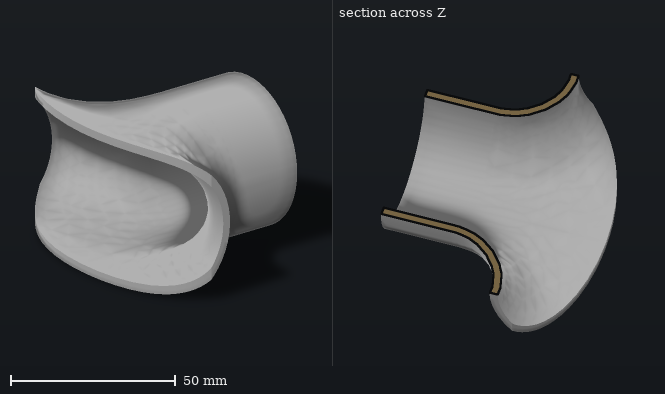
import cadquery as cq
import math

outer_diameter = 48.3
inner_diameter = 43.1
saddle_width = 85.0
total_length = 64.2
tube_length = 22.1
blend_half_width = 41.65
rim_half_width = 44.5
flare_hollow = 0.3
flare_edge_setback = 0.9

outer_radius = outer_diameter / 2
wall = (outer_diameter - inner_diameter) / 2
tube_start = total_length - tube_length
blend_depth = outer_radius - flare_edge_setback

around_steps = 24
along_steps = 16
around_overshoot = 2
tube_overlap = 2.55
saddle_overlap = 6.8
overlap_steps = 4
surface_tolerance = 0.02
lowest_degree = 3
highest_degree = 6
joint_tolerance = 0.05
arc_handle = 4 / 3 * (math.sqrt(2) - 1)


def flare_curve(fraction):
    """Points from tube to saddle; fraction 0 is the side (+X) and 1 is the top (+Z).

    turn is the angle around the tube, psi the angle along the ellipse where the flare ends,
    and theta the angle around the saddle cylinder at that end.
    """
    turn = math.pi / 2 * fraction
    psi = math.pi / 2 * (2 * fraction**2 - fraction**3)
    theta = math.acos((outer_radius - blend_depth * math.sin(psi)) / outer_radius)

    def on_saddle(x, angle):
        return cq.Vector(x, outer_radius * math.cos(angle), outer_radius * math.sin(angle))

    across = blend_depth * math.cos(psi)
    wrapped = blend_half_width * math.sin(psi) * math.sin(theta)
    length = math.hypot(across, wrapped)
    across /= length
    wrapped /= length

    start_x = outer_radius * math.cos(turn)
    start_z = outer_radius * math.sin(turn)
    end_x = blend_half_width * math.cos(psi)
    start = cq.Vector(start_x, tube_start, start_z)
    end = on_saddle(end_x, theta)
    end_direction = cq.Vector(across, -wrapped * math.sin(theta), wrapped * math.cos(theta))

    handle = (1 + flare_hollow * fraction) * arc_handle * (end - start).Length / math.sqrt(2)
    start_handle = start - cq.Vector(0, handle, 0)
    end_handle = end - end_direction * handle

    points = []
    for step in range(overlap_steps):
        extra = tube_overlap * (1 - step / overlap_steps)
        points.append(start + cq.Vector(0, extra, 0))
    for step in range(along_steps + 1):
        u = step / along_steps
        v = 1 - u
        near_start = start * v**3 + start_handle * (3 * u * v**2)
        near_end = end_handle * (3 * u**2 * v) + end * u**3
        points.append(near_start + near_end)
    for step in range(1, overlap_steps + 1):
        extra = saddle_overlap * step / overlap_steps
        points.append(on_saddle(end_x + across * extra, theta + wrapped * extra / outer_radius))
    return points


def symmetric_flare_curve(fraction):
    """Flare curve that continues by symmetry below the side and past the top or bottom."""
    side = 1
    distance = abs(fraction)
    if distance > 1:
        side = -1
        distance = 2 - distance
    height_sign = -1 if fraction < 0 else 1
    return [cq.Vector(side * p.x, p.y, height_sign * p.z) for p in flare_curve(distance)]


def make_flare_half():
    """Flare and saddle on the +X side, from the bottom over the side to the top."""
    steps = range(-around_steps - around_overshoot, around_steps + around_overshoot + 1)
    grid = [symmetric_flare_curve(step / around_steps) for step in steps]
    skin = cq.Face.makeSplineApprox(grid, tol=surface_tolerance, minDeg=lowest_degree, maxDeg=highest_degree)
    inward = wall if skin.normalAt().x < 0 else -wall
    shell = cq.Workplane(obj=skin.thicken(inward))
    half_space = cq.Workplane().box(
        saddle_width / 2, tube_start, 2 * outer_diameter, centered=(False, False, True)
    )
    return shell.intersect(half_space).intersect(make_rim_outline())


def make_rim_outline():
    """Upright prism whose lower edge is the elliptical rim of the saddle."""
    ellipse = (
        cq.Workplane()
        .center(0, outer_radius)
        .ellipse(rim_half_width, outer_radius)
        .extrude(outer_diameter, both=True)
    )
    above = (
        cq.Workplane()
        .center(0, outer_radius + total_length / 2)
        .rect(2 * rim_half_width, total_length)
        .extrude(outer_diameter, both=True)
    )
    return ellipse.union(above)


def make_tube():
    return (
        cq.Workplane("XZ", origin=(0, total_length, 0))
        .circle(outer_radius)
        .circle(inner_diameter / 2)
        .extrude(tube_length)
    )


flare_half = make_flare_half()
flare = flare_half.union(flare_half.mirror("YZ"), tol=joint_tolerance)
part = flare.union(make_tube(), tol=joint_tolerance)
result = cq.Workplane(obj=part.solids().val())